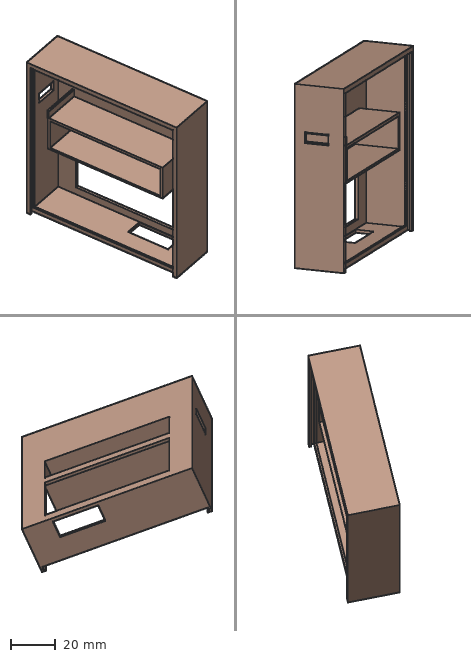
import cadquery as cq

width = 82.0
depth = 23.7
height = 85.0
wall = 1.5
inner_half_width = width / 2 - wall

rim_side = 2.0
rim_top_bottom = 2.4
rim_end = 3.4
rim_half_width = width / 2 - rim_side

lip = 1.0
groove_end = 2.4
groove_depth = 1.0

window_half_width = 30.0
lower_window_bottom = 5.4
lower_window_height = 29.9
upper_window_bottom = 39.95
upper_window_height = 15.0
upper_window_top = upper_window_bottom + upper_window_height

sleeve_front = 2.7
sleeve_wall = 1.45
sleeve_floor = 1.0
sleeve_half_width = window_half_width + sleeve_wall
sleeve_top = upper_window_top + sleeve_wall
tab_overhang = 0.3
tab_thickness = 1.0
tab_height = 3.7

slot_front = 7.5
slot_length = 11.2
slot_bottom = 58.1
slot_height = 5.1

opening_left = 5.0
opening_front = 13.4
opening_length = 21.8
opening_depth = 8.5


def block(x0, x1, y0, y1, z0, z1):
    """Box spanning the given limits along X, Y and Z."""
    return cq.Workplane("XY").box(x1 - x0, y1 - y0, z1 - z0, centered=False).translate((x0, y0, z0))


def make_shell():
    body = block(-width / 2, width / 2, 0, depth, 0, height)
    cavity = block(-inner_half_width, inner_half_width, rim_end, depth - wall, wall, height - wall)
    mouth = block(-rim_half_width, rim_half_width, 0, rim_end, rim_top_bottom, height - rim_top_bottom)
    return body.cut(cavity).cut(mouth)


def make_lid_cut():
    """Groove in the sides and top of the rim, with an entry across the bottom of the rim."""
    groove_half_width = rim_half_width + groove_depth
    groove_top = height - rim_top_bottom + groove_depth
    groove = block(-groove_half_width, groove_half_width, lip, groove_end, 0, groove_top)
    entry = block(-rim_half_width, rim_half_width, 0, groove_end, 0, rim_top_bottom)
    return groove.union(entry)


def make_sleeve():
    sleeve_bottom = upper_window_bottom - sleeve_floor
    sleeve = block(-sleeve_half_width, sleeve_half_width, sleeve_front, depth, sleeve_bottom, sleeve_top)
    tab_left = -sleeve_half_width - tab_overhang
    tab = block(tab_left, tab_left + tab_thickness, sleeve_front, depth, sleeve_top, sleeve_top + tab_height)
    return sleeve.union(tab)


def make_window(bottom, window_height):
    return block(-window_half_width, window_half_width, 0, depth, bottom, bottom + window_height)


def make_side_slot():
    return block(
        -width / 2, -inner_half_width,
        slot_front, slot_front + slot_length,
        slot_bottom, slot_bottom + slot_height,
    )


def make_floor_opening():
    return block(
        opening_left, opening_left + opening_length,
        opening_front, opening_front + opening_depth,
        0, wall,
    )


result = make_shell().cut(make_lid_cut()).union(make_sleeve())
result = result.cut(make_window(lower_window_bottom, lower_window_height))
result = result.cut(make_window(upper_window_bottom, upper_window_height))
result = result.cut(make_side_slot()).cut(make_floor_opening())